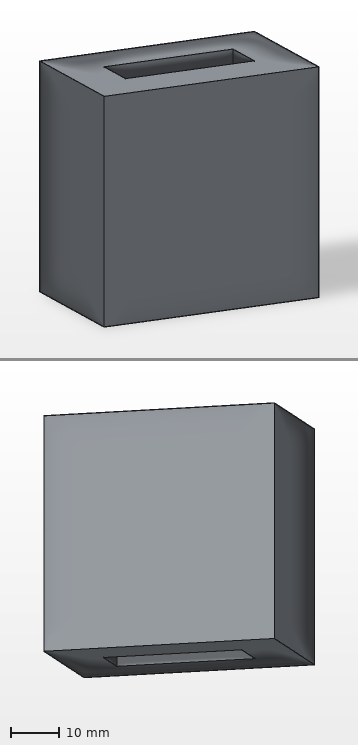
import cadquery as cq

block_width = 30.0
block_depth = 50.0
block_height = 50.0

wall = 10.0
opening_width = block_width - 2 * wall
opening_depth = block_depth - 2 * wall


def make_block():
    """Solid block centred on the origin."""
    return cq.Workplane("XY").box(block_width, block_depth, block_height)


def cut_opening(body):
    """Cut the rectangular opening vertically through the whole block."""
    return body.faces(">Z").workplane().rect(opening_width, opening_depth).cutThruAll()


result = cut_opening(make_block())